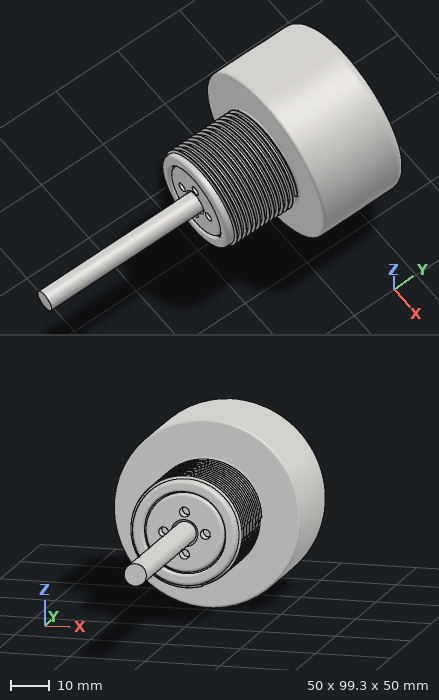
import cadquery as cq


overall_length = 99.3

head_radius = 25.0
head_height = 27.9
base_height = 12.0
base_round = 0.8
cap_draft = 0.1
dome_rise = 1.6
dome_corner_radius = 2.8

stem_radius = 14.0
stem_length = 23.0
plug_recess = 0.4
stem_end_round = 1.0
stem_root_fillet = 1.0

thread_radius = 14.7
thread_start = 0.8
thread_length = 20.7
thread_turns = 13.8
thread_pitch = thread_length / thread_turns
thread_crest_width = thread_pitch / 8
thread_root_width = thread_pitch * 3 / 4
thread_overlap = 0.2

groove_outer_radius = 10.9
groove_inner_radius = 10.5
groove_outer_round = 0.6
groove_inner_round = 0.9
groove_depth = 1.5

small_hole_diameter = 2.6
small_hole_count = 4
small_hole_circle_radius = 5.6
small_hole_depth = 3.0

cable_radius = 3.0
cable_end = overall_length - head_height
cable_insertion = 9.9
cable_hole_chamfer = 0.6


def make_head():
    """Round head with a straight base, a drafted cap, a shallow dome and a rounded corner."""
    cap_radius = head_radius - cap_draft
    rim_height = head_height - dome_rise
    dome_sphere_radius = (cap_radius**2 + dome_rise**2) / (2 * dome_rise)
    profile = (
        cq.Workplane("YZ")
        .lineTo(0, head_radius - base_round)
        .radiusArc((base_round, head_radius), base_round)
        .lineTo(base_height, head_radius)
        .lineTo(rim_height, cap_radius)
        .radiusArc((head_height, 0), dome_sphere_radius)
        .close()
    )
    head = profile.revolve(360, (0, 0, 0), (1, 0, 0))
    rim = cq.selectors.BoxSelector(
        (-head_radius, rim_height - dome_corner_radius, -head_radius),
        (head_radius, rim_height + dome_rise / 2, head_radius),
    )
    return head.edges("%CIRCLE").edges(rim).fillet(dome_corner_radius)


def make_stem():
    """Plain stem below the head, flared at its root and rounded at its end."""
    profile = (
        cq.Workplane("YZ")
        .lineTo(0, stem_radius + stem_root_fillet)
        .radiusArc((-stem_root_fillet, stem_radius), stem_root_fillet)
        .lineTo(stem_end_round - stem_length, stem_radius)
        .radiusArc((-stem_length, stem_radius - stem_end_round), -stem_end_round)
        .lineTo(-stem_length, 0)
        .close()
    )
    return profile.revolve(360, (0, 0, 0), (1, 0, 0))


def make_thread():
    """Right-handed ridge wound around the stem, starting on its +X side."""
    root_radius = stem_radius - thread_overlap
    helix = cq.Wire.makeHelix(thread_pitch, thread_length, root_radius)
    ridge = (
        cq.Workplane("XZ")
        .moveTo(root_radius, -thread_root_width / 2)
        .lineTo(thread_radius, -thread_crest_width / 2)
        .lineTo(thread_radius, thread_crest_width / 2)
        .lineTo(root_radius, thread_root_width / 2)
        .close()
        .sweep(cq.Workplane(helix), isFrenet=True)
    )
    along_stem = ridge.rotate((0, 0, 0), (1, 0, 0), 90)
    return along_stem.translate((0, -thread_start, 0))


def make_groove():
    """Recess in the end of the stem with a deeper ring around the plug, both rims rounded."""
    plug_face = plug_recess - stem_length
    groove_floor = groove_depth - stem_length
    profile = (
        cq.Workplane("YZ")
        .moveTo(-stem_length, 0)
        .lineTo(plug_face, 0)
        .lineTo(plug_face, groove_inner_radius - groove_inner_round)
        .radiusArc((plug_face + groove_inner_round, groove_inner_radius), groove_inner_round)
        .lineTo(groove_floor, groove_inner_radius)
        .lineTo(groove_floor, groove_outer_radius)
        .lineTo(groove_outer_round - stem_length, groove_outer_radius)
        .radiusArc((-stem_length, groove_outer_radius + groove_outer_round), groove_outer_round)
        .close()
    )
    return profile.revolve(360, (0, 0, 0), (1, 0, 0))


def plug_face_plane():
    """Plane on the face of the plug, looking out along -Y."""
    return cq.Workplane("XZ", origin=(0, plug_recess - stem_length, 0))


def make_cable_hole():
    """Blind hole that holds the cable, with a chamfered mouth."""
    bore = plug_face_plane().circle(cable_radius).extrude(-cable_insertion)
    mouth = cq.Solid.makeCone(
        cable_radius + cable_hole_chamfer,
        cable_radius,
        cable_hole_chamfer,
        pnt=plug_face_plane().plane.origin,
        dir=cq.Vector(0, 1, 0),
    )
    return bore.union(cq.Workplane(mouth))


def make_small_holes():
    """Blind holes evenly spaced around the cable."""
    return (
        plug_face_plane()
        .polarArray(small_hole_circle_radius, 0, 360, small_hole_count)
        .circle(small_hole_diameter / 2)
        .extrude(-small_hole_depth)
    )


def make_housing():
    """Head, stem and thread as one solid, with the end of the stem hollowed out."""
    body = make_head().union(make_stem()).union(make_thread())
    return body.cut(make_groove()).cut(make_cable_hole()).cut(make_small_holes())


def make_cable():
    """Plain round cable, seated in the bottom of its hole."""
    inner_end = stem_length - plug_recess - cable_insertion
    plane = cq.Workplane("XZ", origin=(0, -inner_end, 0))
    return plane.circle(cable_radius).extrude(cable_end - inner_end)


housing = make_housing()
cable = make_cable()

result = cq.Compound.makeCompound([*housing.solids().vals(), cable.val()])